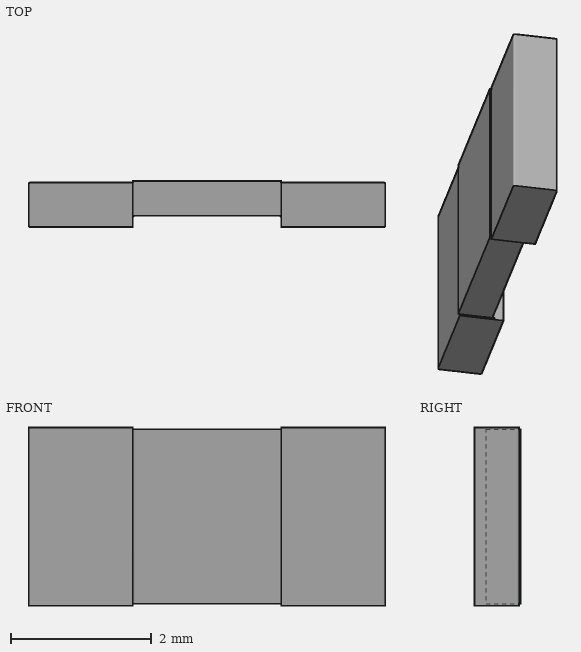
import cadquery as cq

length = 5.08
depth = 0.66
height = 2.54

terminal_length = 1.485
terminal_setback = 0.023
corner_radius = 0.03

body_inset = 0.025
front_recess = 0.165

terminal_depth = depth - terminal_setback
body_height = height - 2 * body_inset
body_length = length - 2 * terminal_length


def block(x_start, x_size, y_start, y_size, z_size):
    """Box placed by its left and front faces, centred on Z = 0."""
    return (
        cq.Workplane("XY")
        .box(x_size, y_size, z_size, centered=(False, False, True))
        .translate((x_start, y_start, 0))
    )


def terminal(side):
    """End block with rounded outer vertical edges; side is -1 or 1."""
    x_start = -length / 2 if side < 0 else length / 2 - terminal_length
    outer_face = "<X" if side < 0 else ">X"
    return (
        block(x_start, terminal_length, 0, terminal_depth, height)
        .faces(outer_face)
        .edges("|Z")
        .fillet(corner_radius)
    )


def blend(side):
    """Concave strip joining the body front to a terminal wall; side is -1 or 1."""
    wall_x = side * body_length / 2
    tangent_x = wall_x - side * corner_radius
    tangent_y = front_recess - corner_radius
    arc_offset = corner_radius * 0.5 ** 0.5
    arc_middle = (tangent_x + side * arc_offset, tangent_y + arc_offset)
    return (
        cq.Workplane("XY")
        .moveTo(wall_x, front_recess)
        .lineTo(tangent_x, front_recess)
        .threePointArc(arc_middle, (wall_x, tangent_y))
        .close()
        .extrude(body_height / 2, both=True)
    )


result = block(-body_length / 2, body_length, front_recess, depth - front_recess, body_height)
for side in (-1, 1):
    result = result.union(terminal(side)).union(blend(side))